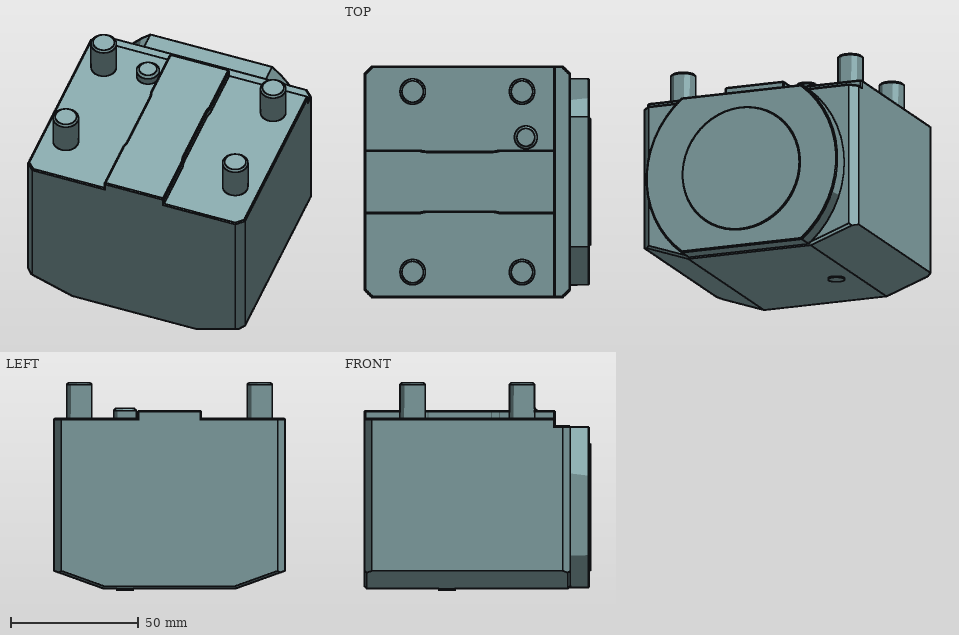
import cadquery as cq
import math

BODY_LENGTH = 81.0
BODY_WIDTH = 91.0
BODY_TOP = 67.0
CORNER_CHAMFER = 3.0
EDGE_CHAMFER = 0.5
CHAMFER_ANGLE = 45.0
END_CHAMFER = 1.0
UNDERSIDE_WIDTH = 52.0
SLOPE_HEIGHT = 7.0

SHELF_START = 75.0
SHELF_TOP = 64.0

RAIL_TOP = 70.0
RAIL_WIDTH = 25.0
WAIST_LENGTH = 25.0
WAIST_DEPTH = 0.5
WAIST_END_RADIUS = 10.0

PIN_DIAMETER = 10.0
PIN_TOP = 81.0
PIN_TIP_CHAMFER = 0.8
PIN_SPACING_X = 43.0
PIN_SPACING_Y = 71.0
PIN_CENTER_X = 40.5
SHORT_PIN_DIAMETER = 9.0
SHORT_PIN_TOP = 71.0
SHORT_PIN_TIP_CHAMFER = 1.0
SHORT_PIN_POSITION = (63.5, 17.5)

FLANGE_DIAMETER = 81.2
FLANGE_FLATS = 63.2
FLANGE_CENTER_Z = 32.0
FLANGE_END = 88.5
COVER_DIAMETER = 50.0
COVER_END = 89.0
COVER_CHAMFER = 0.3

BUTTON_DIAMETER = 6.5
BUTTON_HEIGHT = 0.545
BUTTON_POSITION = (32.5, 17.5)


def make_block(length, top):
    """Full-width block reaching from X = 0 and Z = 0."""
    return cq.Workplane("XY").box(length, BODY_WIDTH, top, centered=(False, True, False))


def make_body():
    half_width = BODY_WIDTH / 2
    half_underside = UNDERSIDE_WIDTH / 2

    lower = make_block(BODY_LENGTH, SHELF_TOP)
    lower = lower.edges("|Z").chamfer(CORNER_CHAMFER)
    lower = lower.faces(">Z").edges().chamfer(EDGE_CHAMFER)
    upper = make_block(SHELF_START, BODY_TOP)
    upper = upper.edges("|Z and <X").chamfer(CORNER_CHAMFER)
    upper = upper.edges("|Z and >X").chamfer(EDGE_CHAMFER)
    upper = upper.faces(">Z").edges().chamfer(EDGE_CHAMFER)

    section = (
        cq.Workplane("YZ")
        .moveTo(-half_underside, 0)
        .lineTo(half_underside, 0)
        .lineTo(half_width, SLOPE_HEIGHT)
        .lineTo(half_width, BODY_TOP)
        .lineTo(-half_width, BODY_TOP)
        .lineTo(-half_width, SLOPE_HEIGHT)
        .close()
        .extrude(BODY_LENGTH)
    )
    lower_edges = cq.selectors.BoxSelector(
        (-END_CHAMFER, -half_width, -END_CHAMFER),
        (BODY_LENGTH + END_CHAMFER, half_width, SLOPE_HEIGHT),
    )
    section = section.edges(lower_edges).edges("#X").chamfer(END_CHAMFER)
    return lower.union(upper).intersect(section)


def make_rail():
    """Rail whose foot is sunk to shelf level so that it joins the body."""
    half_width = RAIL_WIDTH / 2
    waist_half_width = half_width - WAIST_DEPTH
    middle = SHELF_START / 2
    arc_center_y = waist_half_width + WAIST_END_RADIUS
    sweep = math.acos(1 - WAIST_DEPTH / WAIST_END_RADIUS)
    waist_start = middle - WAIST_LENGTH / 2
    waist_end = middle + WAIST_LENGTH / 2
    arc_run = WAIST_END_RADIUS * math.sin(sweep)
    mid_run = WAIST_END_RADIUS * math.sin(sweep / 2)
    mid_y = arc_center_y - WAIST_END_RADIUS * math.cos(sweep / 2)

    outline = (
        cq.Workplane("XY")
        .workplane(offset=SHELF_TOP)
        .moveTo(0, 0)
        .lineTo(0, half_width - EDGE_CHAMFER)
        .lineTo(EDGE_CHAMFER, half_width)
        .lineTo(waist_start - arc_run, half_width)
        .threePointArc((waist_start - mid_run, mid_y), (waist_start, waist_half_width))
        .lineTo(waist_end, waist_half_width)
        .threePointArc((waist_end + mid_run, mid_y), (waist_end + arc_run, half_width))
        .lineTo(SHELF_START - EDGE_CHAMFER, half_width)
        .lineTo(SHELF_START, half_width - EDGE_CHAMFER)
        .lineTo(SHELF_START, 0)
        .mirrorX()
    )
    rail = outline.extrude(RAIL_TOP - EDGE_CHAMFER - SHELF_TOP)

    top_wire = rail.faces(">Z").wires().toPending()
    bevel = top_wire.extrude(EDGE_CHAMFER, taper=CHAMFER_ANGLE, combine=False)
    return rail.union(bevel)


def make_pin(position, diameter, top, tip_chamfer):
    """Chamfered pin whose foot is sunk into the body."""
    x, y = position
    pin = cq.Workplane("XY").workplane(offset=SHELF_TOP).center(x, y)
    return pin.circle(diameter / 2).extrude(top - SHELF_TOP).faces(">Z").chamfer(tip_chamfer)


def make_flange():
    face = cq.Workplane("YZ").workplane(offset=BODY_LENGTH).center(0, FLANGE_CENTER_Z)
    flats = face.rect(FLANGE_DIAMETER, FLANGE_FLATS).extrude(FLANGE_END - BODY_LENGTH)
    flange = face.circle(FLANGE_DIAMETER / 2).extrude(FLANGE_END - BODY_LENGTH).intersect(flats)
    flange = flange.faces(">X").edges().chamfer(EDGE_CHAMFER)
    cover = face.circle(COVER_DIAMETER / 2).extrude(COVER_END - BODY_LENGTH)
    cover = cover.faces(">X").edges().chamfer(COVER_CHAMFER)
    return flange.union(cover)


def make_button():
    x, y = BUTTON_POSITION
    return cq.Workplane("XY").center(x, y).circle(BUTTON_DIAMETER / 2).extrude(-BUTTON_HEIGHT)


result = make_body().union(make_rail()).union(make_flange()).union(make_button())
for x_side in (-1, 1):
    for y_side in (-1, 1):
        pin_position = (
            PIN_CENTER_X + x_side * PIN_SPACING_X / 2,
            y_side * PIN_SPACING_Y / 2,
        )
        result = result.union(make_pin(pin_position, PIN_DIAMETER, PIN_TOP, PIN_TIP_CHAMFER))
result = result.union(
    make_pin(SHORT_PIN_POSITION, SHORT_PIN_DIAMETER, SHORT_PIN_TOP, SHORT_PIN_TIP_CHAMFER)
)